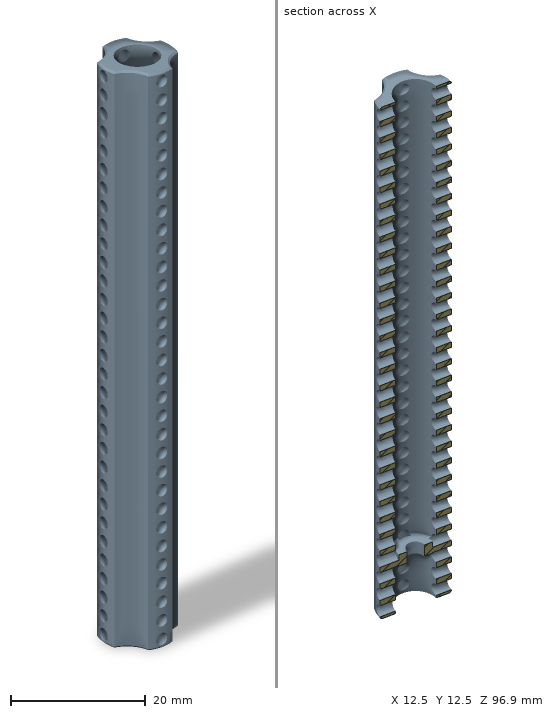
import cadquery as cq
import math

length = 96.9
lobe_count = 4
lobe_diameter = 12.5
lobe_half_width = 2.2
waist_radius = 4.9
end_chamfer = 0.32

bore_diameter = 7.1
plug_hole_diameter = 3.0
plug_bottom = 8.7
plug_top = 10.9

cross_hole_diameter = 2.0
cross_hole_count = 31
cross_hole_pitch = length / cross_hole_count
cross_hole_core_diameter = 6.0

lobe_radius = lobe_diameter / 2
lobe_angle = 360 / lobe_count


def polar_point(radius, degrees):
    """XY point at a distance from the axis and an angle from +X."""
    angle = math.radians(degrees)
    return radius * math.cos(angle), radius * math.sin(angle)


def make_body():
    """Lobed bar: round lobe tips joined by concave flutes, chamfered at both ends."""
    corner_angle = math.degrees(math.asin(lobe_half_width / lobe_radius))
    outline = cq.Workplane("XY").moveTo(*polar_point(lobe_radius, -corner_angle))
    for lobe in range(lobe_count):
        middle = lobe * lobe_angle
        next_middle = middle + lobe_angle
        outline = outline.threePointArc(
            polar_point(lobe_radius, middle),
            polar_point(lobe_radius, middle + corner_angle),
        )
        outline = outline.threePointArc(
            polar_point(waist_radius, middle + lobe_angle / 2),
            polar_point(lobe_radius, next_middle - corner_angle),
        )
    bar = outline.close().extrude(length)
    return bar.faces("<Z or >Z").chamfer(end_chamfer)


def make_cylinder(diameter, bottom, top):
    """Upright cylinder on the axis of the bar."""
    return cq.Workplane("XY").workplane(offset=bottom).circle(diameter / 2).extrude(top - bottom)


def make_cross_hole_row():
    """Evenly spaced holes along the +X lobe, from the core outwards."""
    centres = [(0, (index + 0.5) * cross_hole_pitch) for index in range(cross_hole_count)]
    row = cq.Workplane("YZ").pushPoints(centres).circle(cross_hole_diameter / 2).extrude(lobe_diameter)
    return row.cut(make_cylinder(cross_hole_core_diameter, 0, length))


result = make_body()
result = result.cut(make_cylinder(bore_diameter, 0, plug_bottom))
result = result.cut(make_cylinder(bore_diameter, plug_top, length))
result = result.cut(make_cylinder(plug_hole_diameter, plug_bottom, plug_top))

cross_hole_row = make_cross_hole_row()
for lobe in range(lobe_count):
    result = result.cut(cross_hole_row.rotate((0, 0, 0), (0, 0, 1), lobe * lobe_angle))